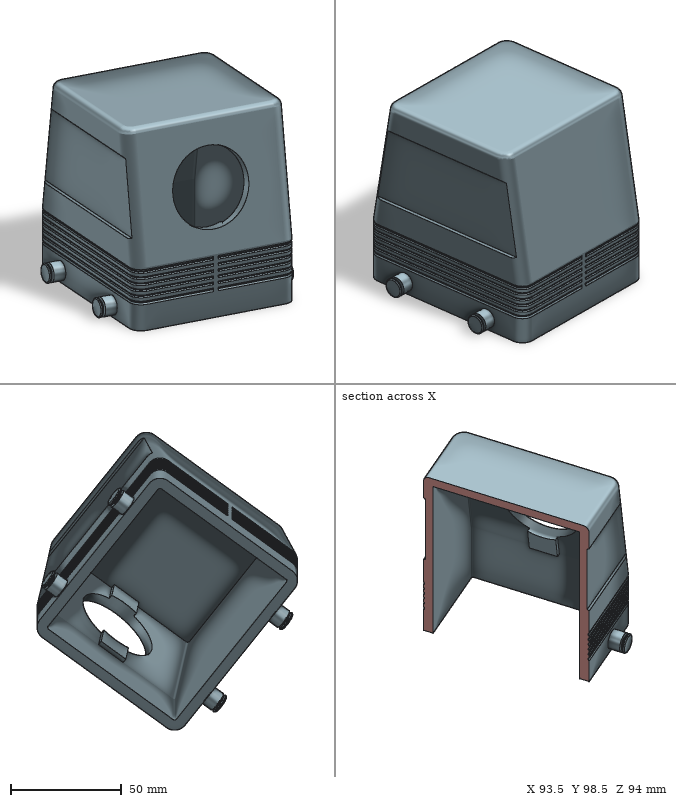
import cadquery as cq
import math

base_width = 93.5
body_depth = 82.3
height = 94.0
taper_start = 30.3
top_width = 72.3
corner_radius = 5.9
top_fillet = 3.1

wall = 4.8
top_wall = 4.9

band_bottom = 12.6
band_top = 29.55
band_depth = 0.5
band_end_bevel = 0.8
ridge_count = 5
ridge_pitch = 3.0
ridge_width = 1.7
ridge_foot_width = ridge_width + 2 * band_depth
band_gap = 2.6

recess_bottom = 42.9
recess_top = 80.8
recess_depth = 0.9
recess_bevel = 0.8

overall_depth = 98.5
pin_spacing = 49.25
pin_height = 5.9
pin_diameter = 9.3
pin_neck_diameter = 5.3
pin_head_length = 1.4
pin_head_chamfer = 0.5
pin_neck_length = 0.8

entry_diameter = 38.8
entry_height = 61.1
entry_pad_width = 14.0
entry_pad_thickness = 2.0

taper_slope = (base_width - top_width) / 2 / (height - taper_start)
taper_angle = math.atan(taper_slope)


def tapered_block(inset, top, edge_radius):
    """Body envelope pulled in horizontally by inset and cut off at height top."""
    half_base = base_width / 2 - inset
    half_top = half_base - taper_slope * (top - taper_start)
    depth = body_depth - 2 * inset
    profile = [
        (-half_base, 0),
        (half_base, 0),
        (half_base, taper_start),
        (half_top, top),
        (-half_top, top),
        (-half_base, taper_start),
    ]
    block = cq.Workplane("XZ").polyline(profile).close().extrude(depth / 2, both=True)
    return block.edges("not(|X or |Y)").fillet(edge_radius)


def rounded_section(inset, z):
    """Base outline pulled in by inset, at height z."""
    return (
        cq.Sketch()
        .rect(base_width - 2 * inset, body_depth - 2 * inset)
        .vertices()
        .fillet(corner_radius - inset)
        .moved(cq.Location(cq.Vector(0, 0, z)))
    )


def frustum(z_low, inset_low, z_high, inset_high):
    """Rounded slab whose outline changes from one inset to another over its height."""
    sections = rounded_section(inset_low, z_low), rounded_section(inset_high, z_high)
    return cq.Workplane("XY").placeSketch(*sections).loft(ruled=True)


def ridge_band_cutter():
    """Ring that sinks the band below the base surface and leaves the ridges standing."""
    margin = 2 * band_depth
    cutter = (
        cq.Workplane("XY", origin=(0, 0, band_bottom))
        .rect(base_width + margin, body_depth + margin)
        .extrude(band_top - band_bottom)
    )
    floor_bottom = band_bottom + band_end_bevel
    floor_top = band_top - band_end_bevel
    cutter = cutter.cut(frustum(band_bottom, 0, floor_bottom, band_depth))
    cutter = cutter.cut(frustum(floor_bottom, band_depth, floor_top, band_depth))
    cutter = cutter.cut(frustum(floor_top, band_depth, band_top, 0))
    middle = (band_bottom + band_top) / 2
    for index in range(ridge_count):
        center = middle + (index - (ridge_count - 1) / 2) * ridge_pitch
        crest_low = center - ridge_width / 2
        crest_high = center + ridge_width / 2
        foot_low = center - ridge_foot_width / 2
        foot_high = center + ridge_foot_width / 2
        cutter = cutter.cut(frustum(foot_low, band_depth, crest_low, 0))
        cutter = cutter.cut(frustum(crest_low, 0, crest_high, 0))
        cutter = cutter.cut(frustum(crest_high, 0, foot_high, band_depth))
    gap = cq.Workplane("XY").box(2 * base_width, band_gap, 2 * height)
    return cutter.cut(gap)


def side_recess_cutter():
    """Bevelled slot across the full width of the -Y face."""
    face = -body_depth / 2
    profile = [
        (face, recess_bottom),
        (face + recess_depth, recess_bottom + recess_bevel),
        (face + recess_depth, recess_top - recess_bevel),
        (face, recess_top),
    ]
    return cq.Workplane("YZ").polyline(profile).close().extrude(base_width / 2, both=True)


def locking_pin(x):
    """Grooved pin standing out of the -Y face."""
    head_start = overall_depth / 2 - pin_head_length
    neck_start = head_start - pin_neck_length
    root = body_depth / 2 - wall / 2

    def disc(diameter, start, end):
        plane = cq.Workplane("XZ", origin=(x, -start, pin_height))
        return plane.circle(diameter / 2).extrude(end - start)

    head = disc(pin_diameter, head_start, overall_depth / 2).edges().chamfer(pin_head_chamfer)
    neck = disc(pin_neck_diameter, neck_start, head_start)
    return disc(pin_diameter, root, neck_start).union(neck).union(head)


def cavity():
    """Inner space, with a pad left on the +X sloped wall behind the cable entry."""
    roof = height - top_wall
    space = tapered_block(wall, roof, corner_radius - wall)
    inner = base_width / 2 - wall
    inner_top = inner - taper_slope * (roof - taper_start)
    pad_profile = [
        (inner, taper_start),
        (inner_top, roof),
        (inner_top - entry_pad_thickness, roof),
        (inner - entry_pad_thickness, taper_start),
    ]
    pad = cq.Workplane("XZ").polyline(pad_profile).close().extrude(entry_pad_width / 2, both=True)
    return space.cut(pad)


def cable_entry_cutter():
    """Bore square to the +X sloped face."""
    reach = 2 * (wall + entry_pad_thickness)
    face_x = base_width / 2 - taper_slope * (entry_height - taper_start)
    axis = cq.Vector(math.cos(taper_angle), 0, math.sin(taper_angle))
    center = cq.Vector(face_x, 0, entry_height)
    bore = cq.Solid.makeCylinder(entry_diameter / 2, 2 * reach, center - axis * reach, axis)
    return cq.Workplane(bore)


body = tapered_block(0, height, corner_radius).faces(">Z").edges().fillet(top_fillet)
body = body.cut(ridge_band_cutter())

recess = side_recess_cutter()
body = body.cut(recess).cut(recess.mirror("XZ"))

for pin_x in (-pin_spacing / 2, pin_spacing / 2):
    pin = locking_pin(pin_x)
    body = body.union(pin).union(pin.mirror("XZ"))

result = body.cut(cavity()).cut(cable_entry_cutter())